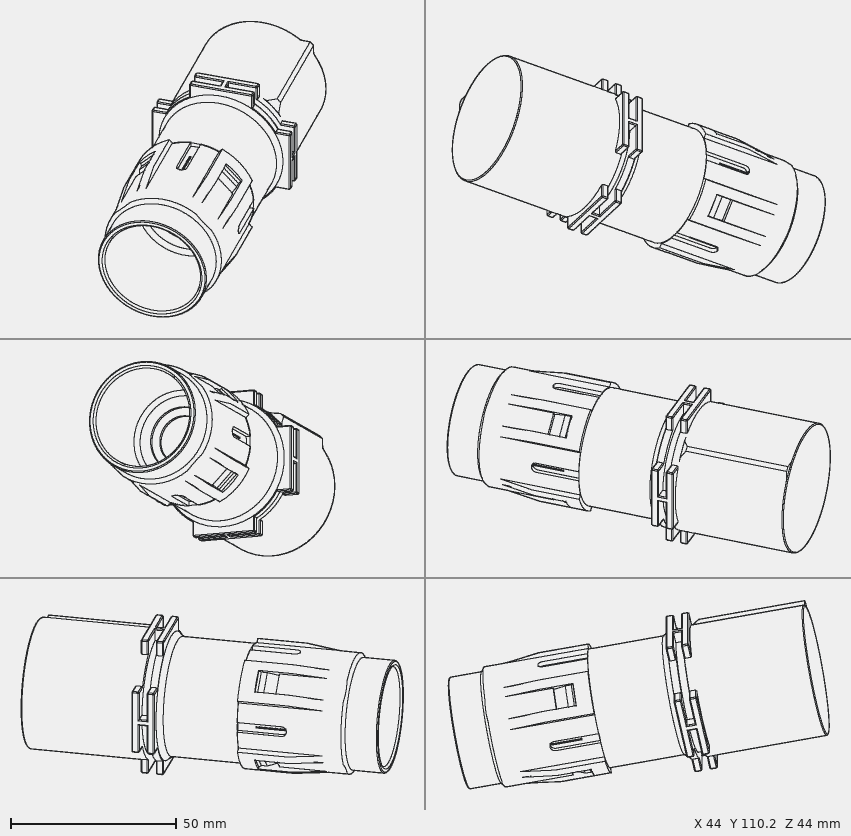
import cadquery as cq
import math

LENGTH = 110.2
FLANGE_SPAN = 44.0

TIP_RADIUS = 17.2
SLEEVE_RADIUS = 18.5
NECK_RADIUS = 18.3
BODY_RADIUS = 20.1
CONE_RADIUS = 19.7
RIM_CHAMFER = 0.3
SLEEVE_FRONT = 10.0
SLEEVE_CHAMFER_LENGTH = 1.0
SLEEVE_REAR = 43.3
NECK_REAR = 66.3
FLANGE_FRONT = 68.2
FLANGE_REAR = 75.3
REAR_CHAMFER = 0.3

LIP_RADIUS = 15.9
LIP_CHAMFER = 0.7
LEDGE_FRONT = 10.0
LEDGE_REAR = 12.6
LEDGE_INNER_RADIUS = 14.9
FLOOR_RADIUS = 13.4
FLOOR_DEPTH = 33.1
FLOOR_STEP_RADII = (10.0, 7.5)
FLOOR_STEP_DEPTH = 1.1

LUG_WIDTH = 20.1
PLATE_THICKNESS = 2.3
WEB_THICKNESS = 1.9
LUG_EDGE_CHAMFER = 0.3

PAD_RADIUS = 19.8
PAD_WIDTH = 13.4
PAD_TAPER_FRONT = 17.3
PAD_TAPER_REAR = 28.0

ARM_WIDTH = 7.0
ARM_HEIGHT = 18.2
ARM_REAR = 32.1
WINDOW_REAR = 38.3
RAMP_REAR = 35.8
RAMP_TOP_HEIGHT = 18.3
RAMP_LOW_HEIGHT = 16.8
WINDOW_CORNER_CHAMFER = 0.7

SLOT_WIDTH = 3.2
SLOT_FRONT = 28.0
SLOT_FLOOR_RADIUS = 17.1
GROOVE_WIDTH = 0.4
GROOVE_DEPTH = 0.5
GROOVE_REAR = 37.8

KEY_SIDE = 16.1
KEY_CORNER_CHAMFER = 1.1
KEY_FILLET = 3.0

CUT_MARGIN = 5.5
AXIS_START = (0, 0, 0)
AXIS_END = (0, 1, 0)


def turned(points):
    """Revolve a closed outline of (radius, Y) points about the Y axis."""
    return cq.Workplane("XY").polyline(points).close().revolve(360, AXIS_START, AXIS_END)


def ring_of_four(shape, first_angle):
    """Copy a shape four times about Y, a quarter turn apart."""
    copies = shape.rotate(AXIS_START, AXIS_END, first_angle)
    for quarter in range(1, 4):
        copies = copies.union(shape.rotate(AXIS_START, AXIS_END, first_angle + 90 * quarter))
    return copies


def block(width, y_front, y_rear, z_low, z_high):
    """Box centred on X = 0 between the given Y and Z limits."""
    size = (width, y_rear - y_front, z_high - z_low)
    return cq.Workplane("XY").box(*size).translate((0, (y_front + y_rear) / 2, (z_low + z_high) / 2))


def turned_body():
    groove_front = FLANGE_FRONT + PLATE_THICKNESS
    groove_rear = FLANGE_REAR - PLATE_THICKNESS
    return turned([
        (0, 0),
        (TIP_RADIUS - RIM_CHAMFER, 0),
        (TIP_RADIUS, RIM_CHAMFER),
        (TIP_RADIUS, SLEEVE_FRONT),
        (SLEEVE_RADIUS, SLEEVE_FRONT + SLEEVE_CHAMFER_LENGTH),
        (SLEEVE_RADIUS, SLEEVE_REAR),
        (NECK_RADIUS, SLEEVE_REAR),
        (NECK_RADIUS, NECK_REAR),
        (CONE_RADIUS, FLANGE_FRONT),
        (BODY_RADIUS, FLANGE_FRONT),
        (BODY_RADIUS, groove_front),
        (NECK_RADIUS, groove_front),
        (NECK_RADIUS, groove_rear),
        (BODY_RADIUS, groove_rear),
        (BODY_RADIUS, LENGTH - REAR_CHAMFER),
        (BODY_RADIUS - REAR_CHAMFER, LENGTH),
        (0, LENGTH),
    ])


def socket():
    bore_radius = LIP_RADIUS - LIP_CHAMFER
    floor_chamfer = LEDGE_INNER_RADIUS - FLOOR_RADIUS
    outline = [
        (0, 0),
        (LIP_RADIUS, 0),
        (bore_radius, LIP_CHAMFER),
        (bore_radius, LEDGE_FRONT),
        (LEDGE_INNER_RADIUS, LEDGE_REAR),
        (LEDGE_INNER_RADIUS, FLOOR_DEPTH - floor_chamfer),
        (FLOOR_RADIUS, FLOOR_DEPTH),
    ]
    depth = FLOOR_DEPTH
    for radius in FLOOR_STEP_RADII:
        outline.append((radius, depth))
        depth += FLOOR_STEP_DEPTH
        outline.append((radius, depth))
    outline.append((0, depth))
    return turned(outline)


def flange_lugs():
    reach = FLANGE_SPAN / 2
    base = NECK_RADIUS / 2
    front_plate = block(LUG_WIDTH, FLANGE_FRONT, FLANGE_FRONT + PLATE_THICKNESS, base, reach)
    rear_plate = block(LUG_WIDTH, FLANGE_REAR - PLATE_THICKNESS, FLANGE_REAR, base, reach)
    web = block(WEB_THICKNESS, FLANGE_FRONT, FLANGE_REAR, base, reach)
    lug = front_plate.union(rear_plate).union(web)
    lug = lug.edges("(<X or >X) and |Z").chamfer(LUG_EDGE_CHAMFER)
    lug = lug.faces(">Z").edges().chamfer(LUG_EDGE_CHAMFER)
    return ring_of_four(lug, 0)


def latch_pads():
    ring = turned([
        (SLOT_FLOOR_RADIUS, PAD_TAPER_FRONT),
        (SLEEVE_RADIUS, PAD_TAPER_FRONT),
        (PAD_RADIUS, PAD_TAPER_REAR),
        (PAD_RADIUS, SLEEVE_REAR),
        (SLOT_FLOOR_RADIUS, SLEEVE_REAR),
    ])
    strip = block(PAD_WIDTH, PAD_TAPER_FRONT, SLEEVE_REAR, 0, PAD_RADIUS + CUT_MARGIN)
    return ring_of_four(ring.intersect(strip), 45)


def latch_windows():
    """Flat along each arm, then a ramped pocket that ends in a short shelf."""
    above = PAD_RADIUS + CUT_MARGIN
    profile = (
        cq.Workplane("YZ")
        .polyline([
            (SLEEVE_FRONT, above),
            (SLEEVE_FRONT, ARM_HEIGHT),
            (ARM_REAR, ARM_HEIGHT),
            (ARM_REAR, RAMP_LOW_HEIGHT),
            (RAMP_REAR, RAMP_TOP_HEIGHT),
            (WINDOW_REAR - WINDOW_CORNER_CHAMFER, RAMP_TOP_HEIGHT),
            (WINDOW_REAR, RAMP_TOP_HEIGHT + WINDOW_CORNER_CHAMFER),
            (WINDOW_REAR, above),
        ])
        .close()
        .extrude(ARM_WIDTH / 2, both=True)
    )
    return ring_of_four(profile, 45)


def sleeve_slots():
    """Slots rounded at the front, each with a fine groove along the middle of its floor."""
    end_centre = SLOT_FRONT + SLOT_WIDTH / 2
    top = SLEEVE_RADIUS + CUT_MARGIN
    groove_floor = SLOT_FLOOR_RADIUS - GROOVE_DEPTH
    straight = block(SLOT_WIDTH, end_centre, SLEEVE_REAR, 0, top)
    round_end = cq.Workplane("XY").center(0, end_centre).circle(SLOT_WIDTH / 2).extrude(top)
    core = cq.Workplane("XZ").circle(SLOT_FLOOR_RADIUS).extrude(-LENGTH)
    groove = block(GROOVE_WIDTH, SLOT_FRONT, GROOVE_REAR, groove_floor, top)
    return ring_of_four(straight.union(round_end).cut(core).union(groove), 0)


def key_rib():
    """Square-cornered rib, blended into the body by concave fillets and undercut at its front."""
    centre_far = KEY_SIDE + KEY_FILLET
    centre_near = math.sqrt((BODY_RADIUS + KEY_FILLET) ** 2 - centre_far ** 2)
    touch = BODY_RADIUS / (BODY_RADIUS + KEY_FILLET)
    near = centre_near * touch
    far = centre_far * touch
    half_turn = math.atan2(centre_near, centre_far) / 2
    mid_near = centre_near - KEY_FILLET * math.sin(half_turn)
    mid_far = centre_far - KEY_FILLET * math.cos(half_turn)
    corner = KEY_SIDE - KEY_CORNER_CHAMFER
    rib = (
        cq.Workplane("XZ", origin=(0, FLANGE_REAR, 0))
        .moveTo(0, 0)
        .lineTo(near, far)
        .threePointArc((mid_near, mid_far), (centre_near, KEY_SIDE))
        .lineTo(corner, KEY_SIDE)
        .lineTo(KEY_SIDE, corner)
        .lineTo(KEY_SIDE, centre_near)
        .threePointArc((mid_far, mid_near), (far, near))
        .close()
        .extrude(FLANGE_REAR - LENGTH + REAR_CHAMFER)
    )
    undercut = (
        cq.Workplane("YZ")
        .polyline([
            (FLANGE_REAR, BODY_RADIUS),
            (FLANGE_REAR + CUT_MARGIN, BODY_RADIUS + CUT_MARGIN),
            (FLANGE_REAR, BODY_RADIUS + CUT_MARGIN),
        ])
        .close()
        .extrude(KEY_SIDE, both=True)
        .rotate(AXIS_START, AXIS_END, 45)
    )
    return rib.cut(undercut)


result = (
    turned_body()
    .union(latch_pads())
    .cut(latch_windows())
    .cut(sleeve_slots())
    .union(flange_lugs())
    .union(key_rib())
    .cut(socket())
    .translate((0, -LENGTH / 2, 0))
)